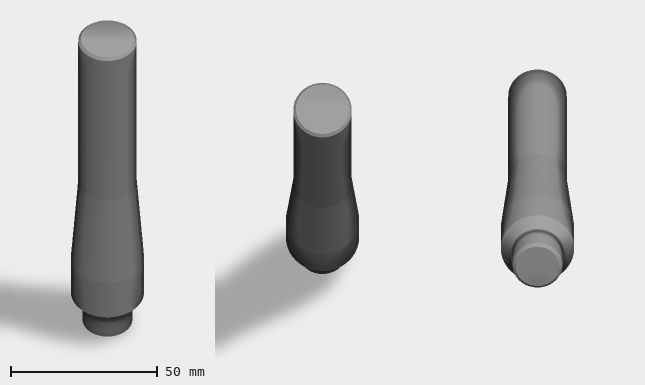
import cadquery as cq

total_length = 134.0

spigot_diameter = 17.0
spigot_length = 9.9
spigot_chamfer = 1.1

body_diameter = 25.0
lower_cone_small_diameter = 18.8
lower_cone_height = 4.2
collar_top = 30.2
taper_top = 67.0

shank_diameter = 20.0
shank_chamfer = 1.0

spigot_radius = spigot_diameter / 2
body_radius = body_diameter / 2
shank_radius = shank_diameter / 2
collar_bottom = spigot_length + lower_cone_height

profile = (
    cq.Workplane("XZ")
    .moveTo(0, 0)
    .lineTo(spigot_radius - spigot_chamfer, 0)
    .lineTo(spigot_radius, spigot_chamfer)
    .lineTo(spigot_radius, spigot_length)
    .lineTo(lower_cone_small_diameter / 2, spigot_length)
    .lineTo(body_radius, collar_bottom)
    .lineTo(body_radius, collar_top)
    .lineTo(shank_radius, taper_top)
    .lineTo(shank_radius, total_length - shank_chamfer)
    .lineTo(shank_radius - shank_chamfer, total_length)
    .lineTo(0, total_length)
    .close()
)

result = profile.revolve(360, (0, 0, 0), (0, 1, 0))